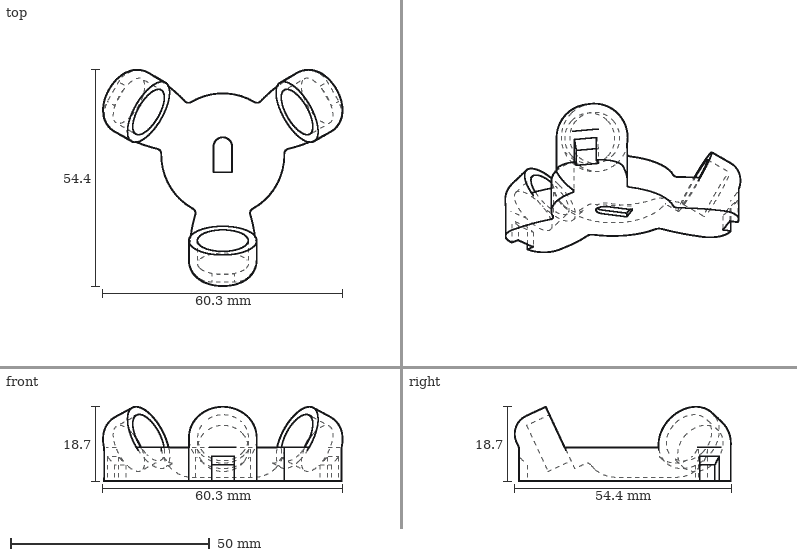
import cadquery as cq
import math

BASE_HEIGHT = 8.5
HUB_RADIUS = 15.5
ARM_COUNT = 3
ROOT_FILLET = 1.25

FLOOR_THICKNESS = 1.0
FLOOR_RADIUS = 7.65
LIP_FILLET = 1.0

SLOT_WIDTH = 4.6
SLOT_LENGTH = 8.75
SLOT_START_Y = -4.35

CUP_TILT = 25.0
CUP_RADIUS = 8.55
CUP_LENGTH = 10.46
CUP_END_FILLET = 5.0
MOUTH_DISTANCE = 21.55
CUP_TOP_Z = 18.72
BORE_RADIUS = 6.4
BORE_DEPTH = 6.35
CHANNEL_LENGTH = 19.0

NOTCH_DEPTH = 2.1
NOTCH_HEIGHT = 6.2

MATCH_TOLERANCE = 0.01

tilt = math.radians(CUP_TILT)
mouth_z = CUP_TOP_Z - CUP_RADIUS * math.cos(tilt)
mouth = cq.Plane(
    origin=(0, -MOUTH_DISTANCE, mouth_z),
    xDir=(0, math.sin(tilt), -math.cos(tilt)),
    normal=(0, math.cos(tilt), math.sin(tilt)),
)


def around_hub(shape):
    """Copies of a shape belonging to the -Y arm, one for each arm."""
    return [shape.rotate((0, 0, 0), (0, 0, 1), i * 360 / ARM_COUNT) for i in range(ARM_COUNT)]


def add_to_arms(body, shape):
    for copy in around_hub(shape):
        body = body.union(copy)
    return body


def cut_from_arms(body, shape):
    for copy in around_hub(shape):
        body = body.cut(copy)
    return body


def make_cup_blank():
    """Solid tilted cylinder with a rounded outer end."""
    cylinder = cq.Workplane(mouth).circle(CUP_RADIUS).extrude(-CUP_LENGTH)
    return cylinder.faces("<Y").edges().fillet(CUP_END_FILLET)


def make_channel():
    """Cylinder that carries the cup's outer surface on from the mouth towards the hub."""
    return cq.Workplane(mouth).circle(CUP_RADIUS).extrude(CHANNEL_LENGTH)


def at_base_top(shape):
    """The same shape with a horizontal workplane at the top of the base, ready to split."""
    return shape.copyWorkplane(cq.Workplane("XY", origin=(0, 0, BASE_HEIGHT)))


def make_arm():
    """Arm whose outline is the section of the cup and channel at the top of the base."""
    lower_part = at_base_top(make_cup_blank().union(make_channel())).split(keepBottom=True)
    return lower_part.faces(">Z").wires().toPending().extrude(-BASE_HEIGHT)


def make_cup_top():
    """The part of the cup that stands above the base."""
    return at_base_top(make_cup_blank()).split(keepTop=True)


def make_bore():
    return cq.Workplane(mouth).circle(BORE_RADIUS).extrude(-BORE_DEPTH)


def make_base():
    """Hub and arms, with the vertical corners between them filleted."""
    base = cq.Workplane("XY").circle(HUB_RADIUS).extrude(BASE_HEIGHT)
    base = add_to_arms(base, make_arm())
    corners = base.edges().filter(is_root_corner)
    return corners.fillet(ROOT_FILLET)


def is_root_corner(edge):
    """True for a full-height edge on the hub's cylinder."""
    center = edge.Center()
    on_hub = math.isclose(math.hypot(center.x, center.y), HUB_RADIUS, abs_tol=MATCH_TOLERANCE)
    return on_hub and math.isclose(center.z, BASE_HEIGHT / 2, abs_tol=MATCH_TOLERANCE)


def make_bowl():
    """Revolved bowl; its wall arc is tangent to the floor and ends at the hub's top edge."""
    depth = BASE_HEIGHT - FLOOR_THICKNESS
    wall_width = HUB_RADIUS - FLOOR_RADIUS
    wall_radius = (wall_width**2 + depth**2) / (2 * depth)
    return (
        cq.Workplane("XZ")
        .moveTo(0, FLOOR_THICKNESS)
        .lineTo(FLOOR_RADIUS, FLOOR_THICKNESS)
        .radiusArc((HUB_RADIUS, BASE_HEIGHT), -wall_radius)
        .lineTo(0, BASE_HEIGHT)
        .close()
        .revolve(360, (0, 0, 0), (0, 1, 0))
    )


def is_lip(edge):
    """True for an edge between the bowl and a channel: it rises from mid-height to the base top."""
    box = edge.BoundingBox()
    center = edge.Center()
    inside_hub = math.hypot(center.x, center.y) < HUB_RADIUS
    return inside_hub and FLOOR_THICKNESS < box.zmin and box.zmax - box.zmin > LIP_FILLET


def make_slot():
    half_width = SLOT_WIDTH / 2
    shoulder_y = SLOT_START_Y + SLOT_LENGTH - half_width
    return (
        cq.Workplane("XY")
        .moveTo(-half_width, SLOT_START_Y)
        .lineTo(half_width, SLOT_START_Y)
        .lineTo(half_width, shoulder_y)
        .threePointArc((0, shoulder_y + half_width), (-half_width, shoulder_y))
        .close()
        .extrude(FLOOR_THICKNESS)
    )


def make_notch():
    """Notch as wide as the flat face at the end of the -Y arm."""
    end_center_y = -MOUTH_DISTANCE - CUP_LENGTH * math.cos(tilt)
    end_center_z = mouth_z - CUP_LENGTH * math.sin(tilt)
    rise = (BASE_HEIGHT - end_center_z) / math.cos(tilt)
    face_y = end_center_y - rise * math.sin(tilt)
    half_width = math.sqrt((CUP_RADIUS - CUP_END_FILLET) ** 2 - rise**2)
    return (
        cq.Workplane("YZ")
        .moveTo(face_y, 0)
        .lineTo(face_y + NOTCH_DEPTH, 0)
        .lineTo(face_y + NOTCH_DEPTH, NOTCH_HEIGHT - NOTCH_DEPTH)
        .lineTo(face_y, NOTCH_HEIGHT)
        .close()
        .extrude(half_width, both=True)
    )


body = cut_from_arms(make_base(), make_channel())
body = body.cut(make_bowl())
body = body.edges().filter(is_lip).fillet(LIP_FILLET)
body = add_to_arms(body, make_cup_top())
body = cut_from_arms(body, make_bore())
body = cut_from_arms(body, make_notch())
result = body.cut(make_slot())